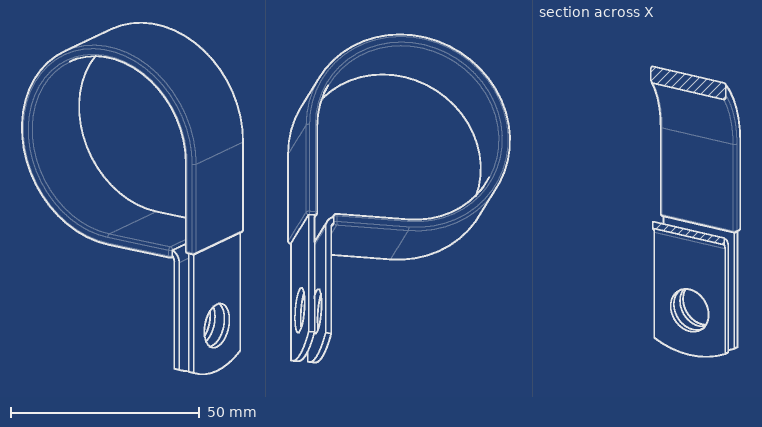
import cadquery as cq
import math


loop_outer_radius = 27.71
cushion_thickness = 3.1
cushion_width = 23.81
strap_thickness = 1.5875
tab_gap = 3.0
bend_inner_radius = 1.5
cushion_seat_end_x = 20.2
cushion_side_end_z = -25.4
tab_tip_z = -61.11
tab_tip_radius = 25.4
hole_diameter = 11.9
hole_to_tip = 12.7

diagonal = math.sqrt(0.5)
cushion_cover = (cushion_thickness - strap_thickness) / 2
strap_width = cushion_width - 2 * cushion_cover
strap_outer_radius = loop_outer_radius - cushion_cover
near_tab_outer_x = strap_outer_radius - strap_thickness - tab_gap
bend_outer_radius = bend_inner_radius + strap_thickness
bend_center_x = near_tab_outer_x - bend_outer_radius
bend_center_z = -strap_outer_radius + strap_thickness - bend_outer_radius
tip_half_width = strap_width / 2
tip_sagitta = tab_tip_radius - math.sqrt(tab_tip_radius**2 - tip_half_width**2)
hole_center_z = tab_tip_z + hole_to_tip


def loop_profile(outer_radius, thickness, side_end_z, seat_end_x):
    """Open loop: straight side, three-quarter ring, then a flat seat below."""
    inner_radius = outer_radius - thickness
    return (
        cq.Workplane("XZ")
        .moveTo(outer_radius, side_end_z)
        .lineTo(outer_radius, 0)
        .threePointArc((-outer_radius * diagonal, outer_radius * diagonal), (0, -outer_radius))
        .lineTo(seat_end_x, -outer_radius)
        .lineTo(seat_end_x, -inner_radius)
        .lineTo(0, -inner_radius)
        .threePointArc((-inner_radius * diagonal, inner_radius * diagonal), (inner_radius, 0))
        .lineTo(inner_radius, side_end_z)
        .close()
    )


def make_cushion():
    """Loop cover with every outside edge rounded back to the strap."""
    profile = loop_profile(loop_outer_radius, cushion_thickness, cushion_side_end_z, cushion_seat_end_x)
    block = profile.extrude(cushion_width / 2, both=True)
    seat_end = cq.selectors.NearestToPointSelector(
        (cushion_seat_end_x, 0, -loop_outer_radius + cushion_thickness / 2)
    )
    side_end = cq.selectors.NearestToPointSelector(
        (loop_outer_radius - cushion_thickness / 2, 0, cushion_side_end_z)
    )
    rims = block.faces("|Y").edges()
    ends = block.faces(seat_end).edges("|Y").add(block.faces(side_end).edges("|Y"))
    return rims.add(ends).fillet(cushion_cover)


def make_near_bend_and_tab():
    """Quarter bend from the flat seat into the tab nearer the loop."""
    near_tab_inner_x = near_tab_outer_x - strap_thickness
    return (
        cq.Workplane("XZ")
        .moveTo(bend_center_x, bend_center_z + bend_outer_radius)
        .threePointArc(
            (bend_center_x + bend_outer_radius * diagonal, bend_center_z + bend_outer_radius * diagonal),
            (near_tab_outer_x, bend_center_z),
        )
        .lineTo(near_tab_outer_x, tab_tip_z)
        .lineTo(near_tab_inner_x, tab_tip_z)
        .lineTo(near_tab_inner_x, bend_center_z)
        .threePointArc(
            (bend_center_x + bend_inner_radius * diagonal, bend_center_z + bend_inner_radius * diagonal),
            (bend_center_x, bend_center_z + bend_inner_radius),
        )
        .close()
        .extrude(strap_width / 2, both=True)
    )


def make_tab_outline():
    """Solid through both tabs whose lower end is the rounded tip, with the bolt hole."""
    tip_corner_z = tab_tip_z + tip_sagitta
    return (
        cq.Workplane("YZ")
        .moveTo(-tip_half_width, loop_outer_radius)
        .lineTo(-tip_half_width, tip_corner_z)
        .threePointArc((0, tab_tip_z), (tip_half_width, tip_corner_z))
        .lineTo(tip_half_width, loop_outer_radius)
        .close()
        .moveTo(0, hole_center_z)
        .circle(hole_diameter / 2)
        .extrude(loop_outer_radius, both=True)
    )


def make_strap():
    """Loop, far tab continuing straight down from the side, and the bent near tab."""
    loop = loop_profile(strap_outer_radius, strap_thickness, tab_tip_z, bend_center_x)
    strap = loop.extrude(strap_width / 2, both=True).union(make_near_bend_and_tab())
    return strap.intersect(make_tab_outline())


result = make_cushion().union(make_strap())